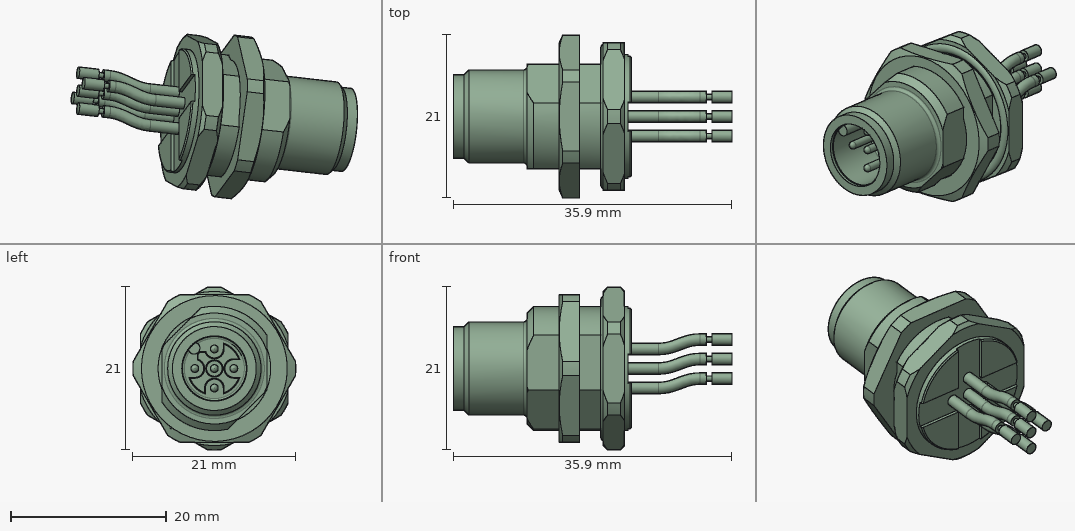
import cadquery as cq
import math


lip_diameter = 10.8
lip_length = 1.35
sleeve_diameter = 12.0
sleeve_end = 9.05
sleeve_bevel = (sleeve_diameter - lip_diameter) / 2
mouth_diameter = 8.4
mouth_depth = 0.43
socket_diameter = 8.25
socket_depth = 7.9
socket_lead_in = (mouth_diameter - socket_diameter) / 2
socket_fillet = 0.25

shank_start = 9.45
shank_diameter = 16.0
shank_bevel = 0.85
shank_flats = 13.48
shank_flat_angles = (0, 45)
root_radius = shank_start - sleeve_end

hex_flats = 19.0
hex_corners = 20.97
flange_start = 19.25
flange_thickness = 2.72
flange_bevel_front = 0.57
flange_bevel_back = 0.5
nut_start = 13.55
nut_thickness = 2.7
nut_bevel_length = 0.5
nut_face_diameter = 18.75
nut_bore = 14.5

ring_diameter = 17.5
ring_section = 1.45
ring_front = 18.93

flange_end = flange_start + flange_thickness
collar_end = 22.9
collar_bevel = 0.18
slot_depth = 0.43
slot_width = 3.73

contact_offset = 2.5
contact_places = [(0, 0)]
contact_places += [(contact_offset, 0), (-contact_offset, 0), (0, contact_offset), (0, -contact_offset)]
pin_diameter = 1.0
pin_rounding = 0.49 * pin_diameter
pin_tip = 2.0

recess_depth = 0.2
recess_bevel = 0.1
recess_diameter = 6.95
middle_pad_diameter = 2.0
outer_pad_diameter = 2.3
key_diameter = 1.5
key_offset = 3.7
key_tip = 0.57
key_corner = 2.2
key_corner_radius = 0.43

lead_diameter = 1.5
bend_start = 26.35
bend_end = 31.73
bend_rise = 1.22
insulation_end = 32.5
strand_diameter = 0.7
cut_end_start = 33.25
lead_end = 35.85


def plane_at(x):
    """Plane across the axis: its local x is Y, its local y is Z and its normal is +X."""
    return cq.Workplane("YZ", origin=(x, 0, 0))


def rod(start, end, diameter, y=0, z=0):
    return plane_at(start).center(y, z).circle(diameter / 2).extrude(end - start)


def hexagon(start, thickness, turn):
    """Hexagonal prism with corners toward +Y and -Y, then turned about X."""
    corner_circle = hex_flats / math.cos(math.pi / 6)
    outline = plane_at(start).polygon(6, corner_circle).extrude(thickness)
    return outline.rotate((0, 0, 0), (1, 0, 0), turn)


def make_sleeve():
    """Mating sleeve with a narrower lip and a rounded root at the shank."""
    lip = rod(0, lip_length, lip_diameter)
    sleeve = rod(lip_length, shank_start, sleeve_diameter).faces("<X").chamfer(sleeve_bevel)
    sleeve_radius = sleeve_diameter / 2
    root_outer = sleeve_radius + root_radius
    root = (
        cq.Workplane("XY")
        .moveTo(sleeve_end, 0)
        .lineTo(sleeve_end, sleeve_radius)
        .radiusArc((shank_start, root_outer), -root_radius)
        .lineTo(shank_start, 0)
        .close()
        .revolve(360, (0, 0, 0), (1, 0, 0))
    )
    return lip.union(sleeve).union(root)


def make_shank():
    """Round shank with two pairs of flats, 45 degrees apart."""
    length = flange_start - shank_start
    shank = rod(shank_start, flange_start, shank_diameter).faces("<X").chamfer(shank_bevel)
    for angle in shank_flat_angles:
        slab = plane_at(shank_start).rect(shank_flats, 2 * shank_diameter).extrude(length)
        shank = shank.intersect(slab.rotate((0, 0, 0), (1, 0, 0), angle))
    return shank


def make_flange():
    blank = rod(flange_start, flange_end, hex_corners)
    blank = blank.faces("<X").chamfer(flange_bevel_front)
    blank = blank.faces(">X").chamfer(flange_bevel_back)
    return hexagon(flange_start, flange_thickness, 90).intersect(blank)


def make_seal_ring():
    return (
        cq.Workplane("XY")
        .center(ring_front + ring_section / 2, ring_diameter / 2)
        .circle(ring_section / 2)
        .revolve(360, (0, -ring_diameter / 2, 0), (1, -ring_diameter / 2, 0))
    )


def make_collar():
    """Rear collar whose end face carries two crossing slots."""
    collar = rod(flange_end, collar_end, shank_diameter).faces(">X").chamfer(collar_bevel)
    slot_floor = plane_at(collar_end - slot_depth)
    for size in ((slot_width, shank_diameter), (shank_diameter, slot_width)):
        collar = collar.cut(slot_floor.rect(*size).extrude(slot_depth))
    return collar


def make_socket():
    """Hollow of the sleeve: a slightly wider mouth, then the bore with a rounded floor edge."""
    bore = rod(0, socket_depth, socket_diameter).faces(">X").edges().fillet(socket_fillet)
    mouth = rod(0, mouth_depth + socket_lead_in, mouth_diameter).faces(">X").chamfer(socket_lead_in)
    return bore.union(mouth)


def make_outer_pad():
    """Pad of one outer contact, open to the rim of the recess."""
    pad = rod(socket_depth, socket_depth + recess_depth, outer_pad_diameter, contact_offset)
    arm_length = recess_diameter / 2
    arm = (
        plane_at(socket_depth)
        .center(contact_offset + arm_length / 2, 0)
        .rect(arm_length, outer_pad_diameter)
        .extrude(recess_depth)
    )
    return pad.union(arm)


def make_key_pad():
    """Pad behind the key: one quadrant of the recess without its square inner corner."""
    floor = plane_at(socket_depth)
    quadrant = floor.rect(recess_diameter, recess_diameter, centered=False).extrude(recess_depth)
    inner = floor.rect(2 * key_corner, 2 * key_corner).extrude(recess_depth)
    return quadrant.cut(inner.edges("|X").fillet(key_corner_radius))


def make_recess():
    """Shallow hollow of the insert, around the pads of the contacts and of the key."""
    recess_end = socket_depth + recess_depth
    recess = rod(socket_depth, recess_end, recess_diameter)
    recess = recess.cut(rod(socket_depth, recess_end, middle_pad_diameter))
    outer_pad = make_outer_pad()
    for quarter in range(4):
        recess = recess.cut(outer_pad.rotate((0, 0, 0), (1, 0, 0), 90 * quarter))
    recess = recess.cut(make_key_pad())
    return recess.faces(">X").edges().chamfer(recess_bevel)


def make_key():
    key_place = key_offset / math.sqrt(2)
    return rod(key_tip, socket_depth, key_diameter, key_place, key_place)


def make_pin(y, z):
    pin = rod(pin_tip, socket_depth, pin_diameter, y, z)
    return pin.faces("<X").edges().fillet(pin_rounding)


def make_lead(y, z):
    """Straight lead that bends up to a higher, parallel end piece."""
    top = z + bend_rise
    path = (
        cq.Workplane("XZ", origin=(0, y, 0))
        .moveTo(bend_start, z)
        .spline([(bend_end, top)], tangents=[(1, 0), (1, 0)], includeCurrent=True)
    )
    bend = plane_at(bend_start).center(y, z).circle(lead_diameter / 2).sweep(path)
    lead = rod(collar_end - slot_depth, bend_start, lead_diameter, y, z)
    lead = lead.union(bend)
    lead = lead.union(rod(bend_end, insulation_end, lead_diameter, y, top))
    lead = lead.union(rod(insulation_end, cut_end_start, strand_diameter, y, top))
    return lead.union(rod(cut_end_start, lead_end, lead_diameter, y, top))


def make_connector():
    body = make_sleeve().union(make_shank()).union(make_flange())
    body = body.union(make_seal_ring()).union(make_collar())
    body = body.cut(make_socket()).cut(make_recess())
    body = body.union(make_key())
    for y, z in contact_places:
        body = body.union(make_pin(y, z)).union(make_lead(y, z))
    return body


def make_nut(shank):
    """Lock nut whose bore is also opened to the outline of the shank that it sits on."""
    rise = (hex_corners - nut_face_diameter) / 2
    blank = rod(nut_start, nut_start + nut_thickness, hex_corners)
    blank = blank.faces("<X").chamfer(nut_bevel_length, rise)
    nut = hexagon(nut_start, nut_thickness, 0).intersect(blank)
    return nut.cut(rod(nut_start, nut_start + nut_thickness, nut_bore)).cut(shank)


connector = make_connector()
lock_nut = make_nut(make_shank())

result = cq.Compound.makeCompound([connector.val(), lock_nut.val()])